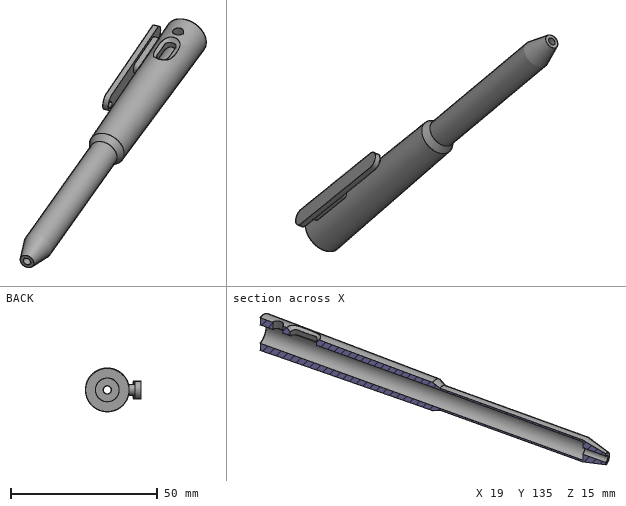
import cadquery as cq
import math

length = 135.0

back_radius = 7.49
taper_end_radius = 6.5
taper_length = 67.4
shoulder_length = 2.8
grip_radius = 5.06
tip_length = 9.0
tip_radius = 2.5

bore_radius = 4.0
tip_hole_radius = 1.4

button_hole_radius = 1.9
button_hole_setback = 6.9
slot_width = 4.2
slot_length = 10.1
slot_setback = 16.9

sink_bottom_z = 5.8
sink_bottom_radii = (2.0, 5.0)
sink_top_z = 7.5
sink_top_radii = (8.4, 6.6)

clip_reach = 11.54
clip_length = 46.2
clip_width = 6.1
clip_thickness = 2.0
foot_length = 18.8
foot_width = 3.8
foot_setback = 14.7
bump_radius = 1.4
bump_height = 0.8

taper_angle = math.atan((back_radius - taper_end_radius) / taper_length)


def make_barrel_shell():
    """Turned outside of the barrel, as a solid of revolution about Y."""
    shoulder_start = length - taper_length
    return (
        cq.Workplane("XY")
        .polyline([
            (0, 0),
            (tip_radius, 0),
            (grip_radius, tip_length),
            (grip_radius, shoulder_start - shoulder_length),
            (taper_end_radius, shoulder_start),
            (back_radius, length),
            (0, length),
        ])
        .close()
        .revolve(360, (0, 0), (0, 1))
    )


def make_bore():
    """Wide bore from the back end, narrowed to a small hole through the tip."""
    return (
        cq.Workplane("XY")
        .polyline([
            (0, 0),
            (tip_hole_radius, 0),
            (tip_hole_radius, tip_length),
            (bore_radius, tip_length),
            (bore_radius, length),
            (0, length),
        ])
        .close()
        .revolve(360, (0, 0), (0, 1))
    )


def make_barrel(shell):
    """Barrel with its countersunk slot, button hole and bore."""
    slot = (
        cq.Workplane("XY")
        .center(0, length - slot_setback)
        .slot2D(slot_length, slot_width, 90)
        .extrude(back_radius)
    )
    button_hole = (
        cq.Workplane("XY")
        .center(0, length - button_hole_setback)
        .circle(button_hole_radius)
        .extrude(back_radius)
    )
    countersink = (
        cq.Workplane("XY")
        .workplane(offset=sink_bottom_z)
        .center(0, length - slot_setback)
        .ellipse(*sink_bottom_radii)
        .workplane(offset=sink_top_z - sink_bottom_z)
        .ellipse(*sink_top_radii)
        .loft()
    )
    return shell.cut(slot).cut(countersink).cut(button_hole).cut(make_bore())


def make_clip(shell):
    """Round-ended bar with a foot seated on the barrel and a bump at its free end."""
    outer_face = cq.Workplane(cq.Plane(
        origin=(-clip_reach, length - clip_thickness * math.sin(taper_angle), 0),
        xDir=(math.sin(taper_angle), -math.cos(taper_angle), 0),
        normal=(math.cos(taper_angle), math.sin(taper_angle), 0),
    ))
    bar = (
        outer_face
        .center(clip_length / 2, 0)
        .slot2D(clip_length, clip_width)
        .extrude(clip_thickness)
    )
    foot = (
        outer_face
        .workplane(offset=clip_thickness)
        .center(foot_setback, 0)
        .slot2D(foot_length, foot_width)
        .extrude(clip_reach - clip_thickness - back_radius / 2)
        .cut(shell)
    )
    bump = (
        outer_face
        .workplane(offset=clip_thickness + bump_height - bump_radius)
        .center(clip_length - bump_radius, 0)
        .sphere(bump_radius)
    )
    return bar.union(foot).union(bump)


barrel_shell = make_barrel_shell()
barrel = make_barrel(barrel_shell)
clip = make_clip(barrel_shell)

result = cq.Compound.makeCompound([barrel.val(), clip.val()])